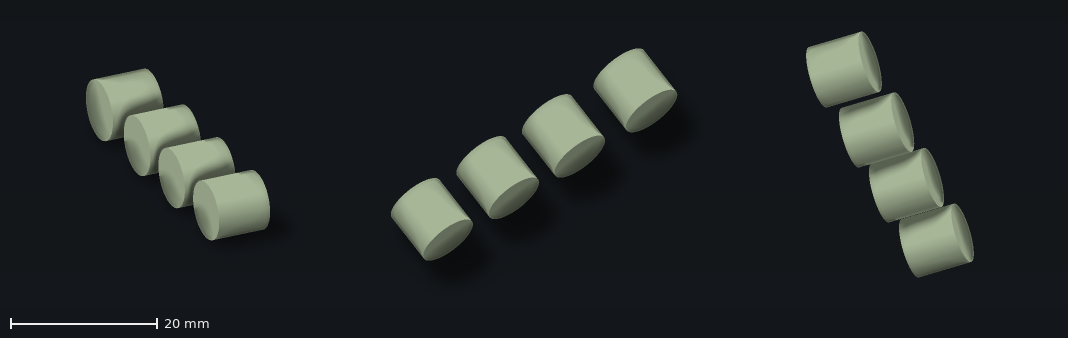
import cadquery as cq

row_length = 42.45
plug_length = 7.7

plug_diameters = [8.6, 8.5, 8.4, 8.32]

plug_pitch = 11.0

first_center = plug_diameters[0] / 2
last_center = row_length - plug_diameters[-1] / 2
plug_centers = [
    first_center,
    last_center - 2 * plug_pitch,
    last_center - plug_pitch,
    last_center,
]


def make_plug(diameter, center_x):
    """Plain cylinder along Y, with its front face on the XZ plane."""
    return cq.Workplane("XZ").center(center_x, 0).circle(diameter / 2).extrude(-plug_length)


plugs = []
for diameter, center_x in zip(plug_diameters, plug_centers):
    plugs.append(make_plug(diameter, center_x).val())

result = cq.Compound.makeCompound(plugs)